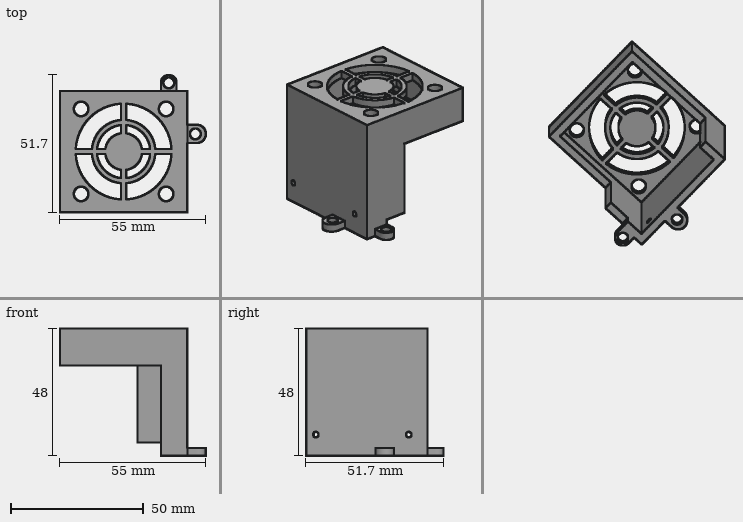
import cadquery as cq

length_x = 48.0
width_y = 45.7
height_z = 48.0
wall = 3.0

hood_height = 14.0
hood_bottom = height_z - hood_height
column_depth = 10.0
column_x = length_x - column_depth

shield_x = 29.2
shield_bottom = 5.0

fan_x = length_x / 2
fan_y = width_y / 2
screw_spacing = 32.0
screw_pattern_y = 22.9
screw_diameter = 5.4
opening_radius = 18.0
ring_outer_radius = 12.0
ring_inner_radius = 10.0
hub_radius = 7.0
spoke_width = 2.0

pin_diameter = 2.0
pin_spacing = 35.0
first_pin_y = 3.6
pin_z = 8.0

ear_thickness = 3.0
ear_hole_diameter = 4.0
back_ear_width = 7.0
back_ear_length = 7.0
back_ear_y = 29.5
back_ear_hole_reach = 3.0
side_ear_width = 6.0
side_ear_length = 6.0
side_ear_x = column_x + side_ear_width / 2
side_ear_hole_reach = 3.0


def box(x_range, y_range, z_range):
    """Axis-aligned block between the given limits."""
    size = [high - low for low, high in (x_range, y_range, z_range)]
    corner = (x_range[0], y_range[0], z_range[0])
    return cq.Workplane("XY").box(*size, centered=False).translate(corner)


def shell():
    """L-shaped duct, hollow and open below the hood and in front of the column."""
    hood = box((0, length_x), (0, width_y), (hood_bottom, height_z))
    column = box((column_x, length_x), (0, width_y), (0, hood_bottom))
    shield = box((shield_x, column_x), (width_y - wall, width_y), (shield_bottom, hood_bottom))
    cavity = box((wall, length_x - wall), (wall, width_y - wall), (0, height_z - wall))
    return hood.union(column).union(shield).cut(cavity)


def vent_ring(outer_radius, inner_radius):
    """Flat ring as thick as the hood roof, around the fan axis."""
    return (
        cq.Workplane("XY", origin=(fan_x, fan_y, height_z - wall))
        .circle(outer_radius)
        .circle(inner_radius)
        .extrude(wall)
    )


def grille_openings():
    """Two concentric vents, each split into quarters by the spokes."""
    roof = cq.Workplane("XY", origin=(fan_x, fan_y, height_z - wall))
    spoke_length = 2 * opening_radius
    spokes = roof.rect(spoke_length, spoke_width).extrude(wall)
    spokes = spokes.union(roof.rect(spoke_width, spoke_length).extrude(wall))
    outer_vent = vent_ring(opening_radius, ring_outer_radius)
    inner_vent = vent_ring(ring_inner_radius, hub_radius)
    return outer_vent.union(inner_vent).cut(spokes)


def screw_holes():
    """Four fan screw holes through the hood roof."""
    return (
        cq.Workplane("XY", origin=(fan_x, screw_pattern_y, height_z - wall))
        .rect(screw_spacing, screw_spacing, forConstruction=True)
        .vertices()
        .circle(screw_diameter / 2)
        .extrude(wall)
    )


def pin_holes():
    """Two small holes along X through the back wall of the column."""
    return (
        cq.Workplane("YZ", origin=(length_x - wall, 0, 0))
        .pushPoints([(first_pin_y, pin_z), (first_pin_y + pin_spacing, pin_z)])
        .circle(pin_diameter / 2)
        .extrude(wall)
    )


def ear(width, reach, hole_reach):
    """Round-ended tab growing along +X from the origin, with one screw hole."""
    radius = width / 2
    straight = reach - radius
    hole = cq.Workplane("XY").center(hole_reach, 0).circle(ear_hole_diameter / 2).extrude(ear_thickness)
    tab = (
        cq.Workplane("XY")
        .moveTo(0, -radius)
        .lineTo(straight, -radius)
        .threePointArc((reach, 0), (straight, radius))
        .lineTo(0, radius)
        .close()
        .extrude(ear_thickness)
    )
    return tab.cut(hole)


back_ear = ear(back_ear_width, back_ear_length, back_ear_hole_reach)
back_ear = back_ear.translate((length_x, back_ear_y, 0))

side_ear = ear(side_ear_width, side_ear_length, side_ear_hole_reach)
side_ear = side_ear.rotate((0, 0, 0), (0, 0, 1), 90).translate((side_ear_x, width_y, 0))

result = shell().cut(grille_openings()).cut(screw_holes()).cut(pin_holes())
result = result.union(back_ear).union(side_ear)